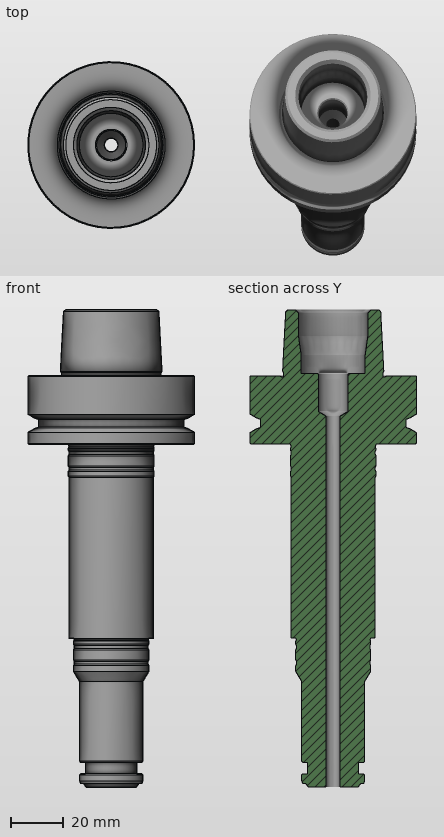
import cadquery as cq

taper_length = 24.9
flange_height = 26.0
total_length = 180.5
tip_z = taper_length - total_length

taper_top_diameter = 36.1
taper_base_diameter = 38.5
taper_rim_width = 0.9
taper_rim_height = 0.7
taper_neck_diameter = 37.7
taper_base_z = 1.6
taper_base_chamfer = 0.5

recess_diameter = 40.8
recess_floor_diameter = 39.3
recess_depth = 0.4

flange_diameter = 63.0
flange_chamfer = 0.4
gripper_groove_diameter = 55.0
gripper_lip_diameter = 58.1
gripper_groove_top = -14.6
gripper_groove_bottom = -21.5
gripper_slope_height = 1.5
gripper_lip_height = 0.5

shaft_diameter = 32.5
shaft_undercut_width = 1.53
shaft_end_z = -99.3
pilot_diameter = 28.5
pilot_undercut_width = 1.0
pilot_cone_height = 3.8
nose_diameter = 24.0
nose_chamfer = 0.5

ring_groove_offsets = (2.2, 8.1)
ring_groove_width = 2.2
ring_groove_depth = 0.27
ring_groove_wall = 0.5
seat_length = 12.5

retaining_groove_diameter = 19.5
retaining_groove_top = -146.2
retaining_groove_bottom = -150.4
lip_top_z = -153.0
lip_bottom_z = -154.1
lip_bottom_diameter = 23.1
tip_root_diameter = 21.0
tip_diameter = 18.8

mouth_diameter = 28.5
mouth_depth = 1.3
bore_diameter = 26.0
bore_straight_end_z = 14.8
bore_cone_end_z = 7.8
bore_floor_diameter = 24.0
bore_floor_z = 0.9
thread_mouth_diameter = 12.0
thread_diameter = 11.0
thread_depth = 14.5
through_hole_diameter = 5.0
drill_point_height = 1.8


def revolve(profile):
    """Turn (diameter, z) pairs about the Z axis, closing the profile along the axis."""
    outline = [(0, profile[0][1])]
    outline += [(diameter / 2, z) for diameter, z in profile]
    outline.append((0, profile[-1][1]))
    return cq.Workplane("XZ").polyline(outline).close().revolve(360, (0, 0), (0, 1))


def make_taper():
    return revolve([
        (taper_top_diameter - 2 * taper_rim_width, taper_length),
        (taper_top_diameter, taper_length - taper_rim_height),
        (taper_base_diameter, taper_base_z),
        (taper_neck_diameter, taper_base_z - taper_base_chamfer),
        (taper_neck_diameter, -recess_depth),
    ])


def make_flange():
    edge_diameter = flange_diameter - 2 * flange_chamfer
    upper_lip_z = gripper_groove_top - gripper_slope_height
    lower_lip_z = gripper_groove_bottom + gripper_slope_height
    flange = revolve([
        (edge_diameter, 0),
        (flange_diameter, -flange_chamfer),
        (flange_diameter, gripper_groove_top),
        (gripper_lip_diameter, upper_lip_z),
        (gripper_groove_diameter, upper_lip_z - gripper_lip_height),
        (gripper_groove_diameter, lower_lip_z + gripper_lip_height),
        (gripper_lip_diameter, lower_lip_z),
        (flange_diameter, gripper_groove_bottom),
        (flange_diameter, flange_chamfer - flange_height),
        (edge_diameter, -flange_height),
    ])
    recess = revolve([
        (recess_diameter, 0),
        (recess_floor_diameter, -recess_depth),
    ])
    return flange.cut(recess)


def seat_profile(land_diameter, start_z, undercut_width):
    """Lands of one seat, going down from a V-shaped undercut through the ring grooves."""
    floor_diameter = land_diameter - 2 * ring_groove_depth
    profile = [
        (land_diameter, start_z),
        (floor_diameter, start_z - undercut_width + ring_groove_wall),
        (land_diameter, start_z - undercut_width),
    ]
    for offset in ring_groove_offsets:
        groove_top = start_z - offset
        groove_bottom = groove_top - ring_groove_width
        profile += [
            (land_diameter, groove_top),
            (floor_diameter, groove_top - ring_groove_wall),
            (floor_diameter, groove_bottom + ring_groove_wall),
            (land_diameter, groove_bottom),
        ]
    return profile


def make_arbor():
    shaft_seat_end = -flange_height - seat_length
    shaft_body_diameter = shaft_diameter - 2 * ring_groove_depth
    pilot_seat_end = shaft_end_z - seat_length
    nose_edge_diameter = nose_diameter - 2 * nose_chamfer

    shaft = seat_profile(shaft_diameter, -flange_height, shaft_undercut_width) + [
        (shaft_diameter, shaft_seat_end + ring_groove_wall),
        (shaft_body_diameter, shaft_seat_end),
        (shaft_body_diameter, shaft_end_z),
    ]
    pilot = seat_profile(pilot_diameter, shaft_end_z, pilot_undercut_width) + [
        (pilot_diameter, pilot_seat_end),
    ]
    nose = [
        (nose_diameter, pilot_seat_end - pilot_cone_height),
        (nose_diameter, retaining_groove_top + nose_chamfer),
        (nose_edge_diameter, retaining_groove_top),
        (retaining_groove_diameter, retaining_groove_top),
        (retaining_groove_diameter, retaining_groove_bottom),
        (nose_edge_diameter, retaining_groove_bottom),
        (nose_diameter, retaining_groove_bottom - nose_chamfer),
        (nose_diameter, lip_top_z),
        (lip_bottom_diameter, lip_bottom_z),
        (tip_root_diameter, lip_bottom_z),
        (tip_diameter, tip_z),
    ]
    return revolve(shaft + pilot + nose)


def make_bore():
    thread_chamfer = (thread_mouth_diameter - thread_diameter) / 2
    thread_end_z = bore_floor_z - thread_depth
    return revolve([
        (mouth_diameter, taper_length),
        (bore_diameter, taper_length - mouth_depth),
        (bore_diameter, bore_straight_end_z),
        (bore_floor_diameter, bore_cone_end_z),
        (bore_floor_diameter, bore_floor_z),
        (thread_mouth_diameter, bore_floor_z),
        (thread_diameter, bore_floor_z - thread_chamfer),
        (thread_diameter, thread_end_z),
        (through_hole_diameter, thread_end_z - drill_point_height),
        (through_hole_diameter, tip_z),
    ])


result = make_flange().union(make_taper()).union(make_arbor()).cut(make_bore())